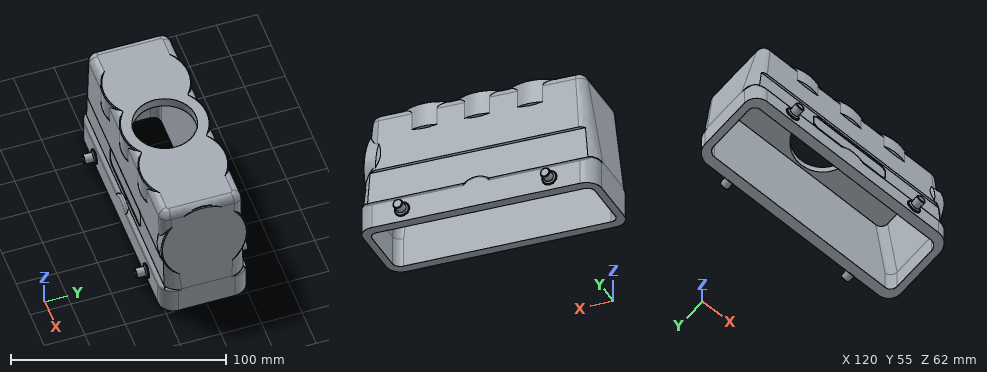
import cadquery as cq
import math

LENGTH = 120.0
RIM_WIDTH = 43.1
RIM_HEIGHT = 14.8
RIM_CORNER_RADIUS = 7.6
RIM_EDGE_FILLET = 1.0

HEIGHT = 62.0
BODY_WIDTH = 40.3
END_SLOPE = 0.137
BODY_CORNER_RADIUS_BOTTOM = 7.8
BODY_CORNER_RADIUS_TOP = 4.2
TOP_FILLET = 4.1

STEP_DEPTH = 0.7
STEP_TOP = 31.6

WALL = 3.8
ROOF_THICKNESS = 5.0
OPENING_DIAMETER = 30.5

BOSS_RADIUS = 21.1
BOSS_EDGE_CHAMFER = 0.5
BOSS_CONE_RADIAL = 2.4
ROOF_BOSS_PITCH = 26.5
ROOF_BOSS_DEPTH = 12.6
ROOF_BOSS_CONE_LENGTH = 1.7
END_BOSS_Z = 40.1
END_BOSS_DEPTH = 6.2
END_BOSS_CONE_LENGTH = 4.3

HUMP_RADIUS = 9.4
HUMP_TOP = 16.1

PIN_SPAN = 55.0
PIN_X = 37.1
PIN_Z = 6.2
PIN_DIAMETER = 4.8
PIN_TIP_CHAMFER = 0.4
KNURL_OUTER_DIAMETER = 7.5
KNURL_ROOT_DIAMETER = 6.5
KNURL_TEETH = 30
KNURL_LENGTH = 0.7
COLLAR_CONE_LENGTH = 0.6

PANEL_LENGTH = 43.7
PANEL_HEIGHT = 10.9
PANEL_Z = 23.9
PANEL_CORNER = 1.9
PANEL_DEPTH = 0.4

BODY_RISE = HEIGHT - RIM_HEIGHT
STEP_HALF_WIDTH = BODY_WIDTH / 2 - STEP_DEPTH


def length_at(z):
    """Outer length of the tapered body at height z."""
    return LENGTH - 2 * END_SLOPE * (z - RIM_HEIGHT)


def rounded_rectangle(length, width, radius):
    return cq.Sketch().rect(length, width).vertices().fillet(radius)


def tapered_block(bottom, top, rise):
    """Ruled block on the rim plane between two rounded rectangles."""
    return (
        cq.Workplane("XY", origin=(0, 0, RIM_HEIGHT))
        .placeSketch(bottom, top.moved(cq.Location(cq.Vector(0, 0, rise))))
        .loft(ruled=True)
    )


def make_body():
    bottom = rounded_rectangle(LENGTH, BODY_WIDTH, BODY_CORNER_RADIUS_BOTTOM)
    top = rounded_rectangle(length_at(HEIGHT), BODY_WIDTH, BODY_CORNER_RADIUS_TOP)
    body = tapered_block(bottom, top, BODY_RISE).faces(">Z").edges().fillet(TOP_FILLET)
    root = (
        cq.Workplane("XY", origin=(0, 0, RIM_HEIGHT - RIM_EDGE_FILLET))
        .placeSketch(bottom)
        .extrude(RIM_EDGE_FILLET)
    )
    return body.union(root)


def boss(cylinder_length, cone_length):
    """Disc hanging below its workplane, closed by a blunt cone underneath."""
    return (
        cq.Workplane("XZ")
        .polyline([
            (0, 0),
            (BOSS_RADIUS - BOSS_EDGE_CHAMFER, 0),
            (BOSS_RADIUS, -BOSS_EDGE_CHAMFER),
            (BOSS_RADIUS, -cylinder_length),
            (BOSS_RADIUS - BOSS_CONE_RADIAL, -cylinder_length - cone_length),
            (0, -cylinder_length - cone_length),
        ])
        .close()
        .revolve(360, (0, 0, 0), (0, 1, 0))
    )


def add_bosses(body):
    roof_boss = boss(ROOF_BOSS_DEPTH, ROOF_BOSS_CONE_LENGTH)
    for x in (-ROOF_BOSS_PITCH, 0, ROOF_BOSS_PITCH):
        body = body.union(roof_boss.translate((x, 0, HEIGHT)))
    lean = math.degrees(math.atan(END_SLOPE))
    end_boss = (
        boss(END_BOSS_DEPTH, END_BOSS_CONE_LENGTH)
        .rotate((0, 0, 0), (0, 1, 0), 90 - lean)
        .translate((length_at(END_BOSS_Z) / 2, 0, END_BOSS_Z))
    )
    return body.union(end_boss)


def cut_side_steps(body):
    """Trim both long sides back below the step, with a 45 degree upper edge."""
    outer = RIM_WIDTH / 2
    for side in (-1, 1):
        step = (
            cq.Workplane("YZ", origin=(-LENGTH / 2, 0, 0))
            .polyline([
                (side * STEP_HALF_WIDTH, 0),
                (side * outer, 0),
                (side * outer, STEP_TOP - STEP_DEPTH + outer - STEP_HALF_WIDTH),
                (side * STEP_HALF_WIDTH, STEP_TOP - STEP_DEPTH),
            ])
            .close()
            .extrude(LENGTH)
        )
        body = body.cut(step)
    return body


def make_rim():
    """Rounded band whose long upper edges slope at 45 degrees."""
    half_width = RIM_WIDTH / 2
    shoulder = RIM_HEIGHT - (half_width - STEP_HALF_WIDTH)
    section = (
        cq.Workplane("YZ", origin=(-LENGTH / 2, 0, 0))
        .polyline([
            (-half_width, 0),
            (half_width, 0),
            (half_width, shoulder),
            (STEP_HALF_WIDTH, RIM_HEIGHT),
            (-STEP_HALF_WIDTH, RIM_HEIGHT),
            (-half_width, shoulder),
        ])
        .close()
        .extrude(LENGTH)
    )
    band = (
        cq.Workplane("XY")
        .placeSketch(rounded_rectangle(LENGTH, RIM_WIDTH, RIM_CORNER_RADIUS))
        .extrude(RIM_HEIGHT)
    )
    sloped = band.intersect(section)
    upper_outline = sloped.faces("#Z").edges("not(|Z or <Z)")
    return upper_outline.fillet(RIM_EDGE_FILLET)


def make_hump():
    return (
        cq.Workplane("XZ", origin=(0, RIM_WIDTH / 2, HUMP_TOP - HUMP_RADIUS))
        .circle(HUMP_RADIUS)
        .extrude(RIM_WIDTH)
        .edges()
        .fillet(RIM_EDGE_FILLET)
        .intersect(cq.Workplane("XY").box(LENGTH, LENGTH, HEIGHT, centered=(True, True, False)))
    )


def make_cavity():
    inner_width = BODY_WIDTH - 2 * WALL
    ceiling = HEIGHT - ROOF_THICKNESS
    bottom = rounded_rectangle(LENGTH - 2 * WALL, inner_width, BODY_CORNER_RADIUS_BOTTOM - WALL)
    top = rounded_rectangle(length_at(ceiling) - 2 * WALL, inner_width, BODY_CORNER_RADIUS_BOTTOM - WALL)
    straight = cq.Workplane("XY").placeSketch(bottom).extrude(RIM_HEIGHT)
    return straight.union(tapered_block(bottom, top, ceiling - RIM_HEIGHT))


def make_pin():
    """Pin along +Z from the rim side face, with its collar at the foot."""
    reach = (PIN_SPAN - RIM_WIDTH) / 2
    embed_depth = 1.2
    tooth_points = []
    for i in range(2 * KNURL_TEETH):
        radius = (KNURL_OUTER_DIAMETER if i % 2 == 0 else KNURL_ROOT_DIAMETER) / 2
        angle = math.pi * i / KNURL_TEETH
        tooth_points.append((radius * math.cos(angle), radius * math.sin(angle)))
    knurl = (
        cq.Workplane("XY", origin=(0, 0, -embed_depth))
        .polyline(tooth_points)
        .close()
        .extrude(embed_depth + KNURL_LENGTH)
    )
    cone = (
        cq.Workplane("XY", origin=(0, 0, KNURL_LENGTH))
        .circle(KNURL_ROOT_DIAMETER / 2)
        .workplane(offset=COLLAR_CONE_LENGTH)
        .circle(PIN_DIAMETER / 2)
        .loft()
    )
    shaft = (
        cq.Workplane("XY", origin=(0, 0, -embed_depth))
        .circle(PIN_DIAMETER / 2)
        .extrude(embed_depth + reach)
        .faces(">Z")
        .chamfer(PIN_TIP_CHAMFER)
    )
    return knurl.union(cone).union(shaft)


def add_pins(hood):
    pin = make_pin()
    for side in (-1, 1):
        turned = pin.rotate((0, 0, 0), (1, 0, 0), -90 * side)
        for x in (-PIN_X, PIN_X):
            hood = hood.union(turned.translate((x, side * RIM_WIDTH / 2, PIN_Z)))
    return hood


def make_panel():
    """Plate that sinks the name panel into the -Y side."""
    return (
        cq.Workplane("XZ", origin=(0, PANEL_DEPTH - STEP_HALF_WIDTH, PANEL_Z))
        .rect(PANEL_LENGTH, PANEL_HEIGHT)
        .extrude(PANEL_DEPTH)
        .edges("|Y")
        .chamfer(PANEL_CORNER)
    )


body = cut_side_steps(add_bosses(make_body()))
hood = body.union(make_rim()).union(make_hump())
opening = cq.Workplane("XY").circle(OPENING_DIAMETER / 2).extrude(HEIGHT)
hood = hood.cut(make_cavity()).cut(opening).cut(make_panel())
result = add_pins(hood)